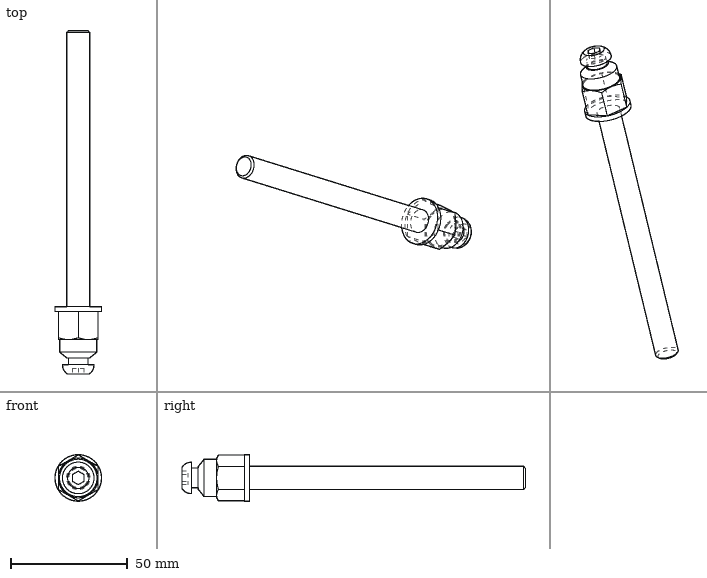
import cadquery as cq
import math

TOTAL_LENGTH = 147.0
HEAD_LENGTH = 4.1
NECK_LENGTH = 2.8
CONE_LENGTH = 2.5
COLLAR_LENGTH = 5.5
HEX_LENGTH = 11.9
FLANGE_THICKNESS = 2.2

ROD_DIAMETER = 10.0
ROD_CHAMFER = 0.9
FLANGE_DIAMETER = 20.0
HEX_ACROSS_FLATS = 17.0
COLLAR_DIAMETER = 16.0
CONE_END_DIAMETER = 9.7
NECK_DIAMETER = 8.5
HEAD_DIAMETER = 13.5
HEAD_FACE_DIAMETER = 9.1
HEAD_BULGE = 0.66
SOCKET_ACROSS_FLATS = 5.0
SOCKET_DEPTH = 2.5
HEX_CHAMFER_ANGLE = 30.0

neck_start = HEAD_LENGTH
cone_start = neck_start + NECK_LENGTH
collar_start = cone_start + CONE_LENGTH
hex_start = collar_start + COLLAR_LENGTH
flange_start = hex_start + HEX_LENGTH
rod_start = flange_start + FLANGE_THICKNESS


def section_plane(station):
    """Plane square to the axis, with its normal along +Y and local X along Z."""
    return cq.Workplane(cq.Plane((0, station, 0), xDir=(0, 0, 1), normal=(0, 1, 0)))


def cylinder(diameter, start, length):
    return section_plane(start).circle(diameter / 2).extrude(length)


def hexagon(across_flats, start, length):
    """Hexagonal prism with two corners pointing along Z."""
    across_corners = across_flats / math.cos(math.pi / 6)
    return section_plane(start).polygon(6, across_corners).extrude(length)


def revolve_profile(profile):
    """Turn a closed radius-station profile about the Y axis."""
    return profile.close().revolve(360, (0, 0, 0), (0, 1, 0))


def make_head():
    """Domed button with a hexagonal socket in its flat face."""
    face_radius = HEAD_FACE_DIAMETER / 2
    rim_radius = HEAD_DIAMETER / 2
    rise = rim_radius - face_radius
    chord = math.hypot(rise, HEAD_LENGTH)
    bow_radius = (face_radius + rim_radius) / 2 + HEAD_BULGE * HEAD_LENGTH / chord
    bow_station = HEAD_LENGTH / 2 - HEAD_BULGE * rise / chord
    dome = revolve_profile(
        cq.Workplane("XY")
        .lineTo(face_radius, 0)
        .threePointArc((bow_radius, bow_station), (rim_radius, HEAD_LENGTH))
        .lineTo(0, HEAD_LENGTH)
    )
    return dome.cut(hexagon(SOCKET_ACROSS_FLATS, 0, SOCKET_DEPTH))


def make_cone():
    return revolve_profile(
        cq.Workplane("XY")
        .moveTo(0, cone_start)
        .lineTo(CONE_END_DIAMETER / 2, cone_start)
        .lineTo(COLLAR_DIAMETER / 2, collar_start)
        .lineTo(0, collar_start)
    )


def make_hex():
    """Hexagon with the corners of its head-side end turned down conically."""
    flat_radius = HEX_ACROSS_FLATS / 2
    corner_radius = flat_radius / math.cos(math.pi / 6)
    chamfer_length = (corner_radius - flat_radius) * math.tan(math.radians(HEX_CHAMFER_ANGLE))
    envelope = revolve_profile(
        cq.Workplane("XY")
        .moveTo(0, hex_start)
        .lineTo(flat_radius, hex_start)
        .lineTo(corner_radius, hex_start + chamfer_length)
        .lineTo(corner_radius, flange_start)
        .lineTo(0, flange_start)
    )
    return hexagon(HEX_ACROSS_FLATS, hex_start, HEX_LENGTH).intersect(envelope)


def make_rod():
    rod = cylinder(ROD_DIAMETER, rod_start, TOTAL_LENGTH - rod_start)
    return rod.faces(">Y").chamfer(ROD_CHAMFER)


body = (
    make_head()
    .union(cylinder(NECK_DIAMETER, neck_start, NECK_LENGTH))
    .union(make_cone())
    .union(cylinder(COLLAR_DIAMETER, collar_start, COLLAR_LENGTH))
    .union(make_hex())
    .union(cylinder(FLANGE_DIAMETER, flange_start, FLANGE_THICKNESS))
    .union(make_rod())
)

result = body.translate((0, -TOTAL_LENGTH / 2, 0))